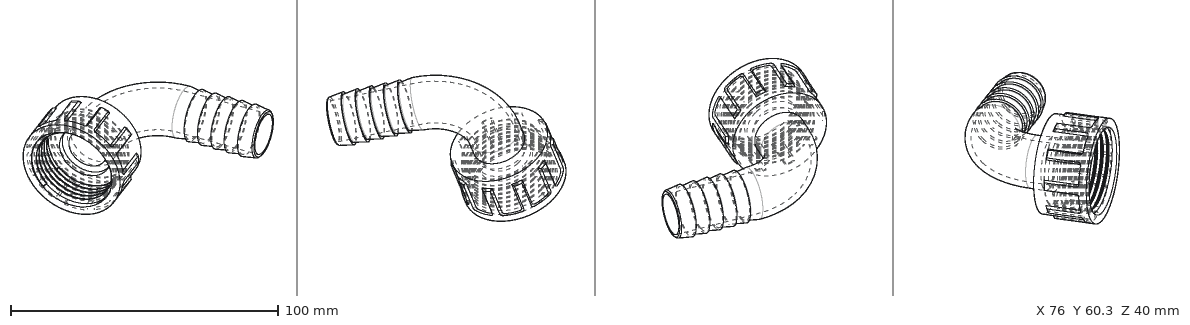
import cadquery as cq
import math


nut_diameter = 38.0
rim_diameter = 40.0
nut_height = 21.05
rim_height = 3.05
rib_count = 10
rib_top = 17.0
rib_base_width = 4.1
rib_crest_width = 3.0
pocket_corner_radius = 0.9
nut_wall = 3.0

thread_major_diameter = 33.2
thread_minor_diameter = 30.4
thread_pitch = 2.3
thread_angle = 55.0
thread_turns = 5.0
thread_start = 1.3
thread_start_angle = 225.0
thread_root_overlap = 0.2
seat_diameter = 30.8

gasket_diameter = 30.0
gasket_hole_diameter = 21.0
gasket_front = 12.0
gasket_thickness = 2.5

bore_diameter = 15.6
tube_diameter = 20.15
bend_radius = 22.95
outlet_height = 50.1

barb_count = 5
barb_crest_diameter = 20.4
barb_root_diameter = 18.6
barb_land = 0.45
first_barb = 5.0
tip_length = 6.1
overall_length = 76.0
tip_chamfer = 0.5

nut_radius = nut_diameter / 2
rim_radius = rim_diameter / 2
seat_radius = seat_diameter / 2
bore_radius = bore_diameter / 2
tube_radius = tube_diameter / 2
thread_major_radius = thread_major_diameter / 2
thread_minor_radius = thread_minor_diameter / 2
outlet_end = overall_length - rim_radius
rib_depth = rim_radius - nut_radius
rib_draft = (rib_base_width - rib_crest_width) / 2
gasket_back = gasket_front + gasket_thickness
flange_back = nut_height - nut_wall
bend_start = outlet_height - bend_radius
barb_pitch = (outlet_end - tip_length - bend_radius - first_barb) / (barb_count - 1)


def revolve_about_y(points):
    """Turn a closed outline of (radius, height) points about the Y axis."""
    return cq.Workplane("XY").polyline(points).close().revolve(360, (0, 0, 0), (0, 1, 0))


def make_rib_pockets():
    """Recesses between the ribs, with slanted sides and rounded lower corners."""
    half_step = 180.0 / rib_count
    turn = math.radians(half_step)

    def on_rib_side(radius, half_width):
        along = radius * math.cos(turn) + half_width * math.sin(turn)
        across = radius * math.sin(turn) - half_width * math.cos(turn)
        return along, across

    inner = on_rib_side(nut_radius - rib_depth, rib_base_width / 2 + rib_draft)
    outer = on_rib_side(rim_radius + rib_depth, rib_crest_width / 2 - rib_draft)
    pocket = (
        cq.Workplane("XZ", origin=(0, rim_height, 0))
        .polyline([(inner[0], -inner[1]), (outer[0], -outer[1]), outer, inner])
        .close()
        .extrude(-(nut_height - rim_height))
        .faces("<Y")
        .edges("not |Z")
        .fillet(pocket_corner_radius)
    )
    return [
        pocket.rotate((0, 0, 0), (0, 1, 0), half_step * (2 * index + 1))
        for index in range(rib_count)
    ]


def make_thread_ridge():
    """Helical ridge standing inward from the thread's major diameter."""
    flank_slope = math.tan(math.radians(thread_angle / 2))
    ridge_height = thread_major_radius - thread_minor_radius
    crest_half = thread_pitch / 4 - ridge_height * flank_slope / 2
    root_half = crest_half + (ridge_height + thread_root_overlap) * flank_slope
    root_radius = thread_major_radius + thread_root_overlap
    path = cq.Wire.makeHelix(thread_pitch, thread_turns * thread_pitch, thread_minor_radius)
    ridge = (
        cq.Workplane("XZ")
        .polyline([
            (thread_minor_radius, -crest_half),
            (root_radius, -root_half),
            (root_radius, root_half),
            (thread_minor_radius, crest_half),
        ])
        .close()
        .sweep(cq.Workplane(path), isFrenet=True)
    )
    return (
        ridge.rotate((0, 0, 0), (1, 0, 0), -90)
        .rotate((0, 0, 0), (0, 1, 0), -thread_start_angle)
        .translate((0, thread_start, 0))
    )


def make_rib_sleeve():
    """Sleeve of the rim's diameter, cut away between the ribs."""
    sleeve = revolve_about_y([
        (thread_major_radius, 0),
        (rim_radius, 0),
        (rim_radius, rib_top - rib_draft),
        (nut_radius, rib_top),
        (thread_major_radius, rib_top),
    ])
    for pocket in make_rib_pockets():
        sleeve = sleeve.cut(pocket)
    return sleeve


def make_nut():
    body = revolve_about_y([
        (thread_major_radius, 0),
        (nut_radius, 0),
        (nut_radius, nut_height),
        (tube_radius, nut_height),
        (tube_radius, flange_back),
        (seat_radius, flange_back),
        (seat_radius, gasket_back),
        (thread_major_radius, gasket_back),
    ])
    return body.union(make_rib_sleeve()).union(make_thread_ridge())


def make_gasket():
    return (
        cq.Workplane("XZ", origin=(0, gasket_front, 0))
        .circle(gasket_diameter / 2)
        .circle(gasket_hole_diameter / 2)
        .extrude(-gasket_thickness)
    )


def make_bent_rod(radius):
    """Solid rod that follows the elbow from the flange face to the end of the bend."""
    path = (
        cq.Workplane("XY")
        .moveTo(0, gasket_back)
        .lineTo(0, bend_start)
        .radiusArc((bend_radius, outlet_height), bend_radius)
    )
    return cq.Workplane("XZ", origin=(0, gasket_back, 0)).circle(radius).sweep(path)


def make_barbed_spigot():
    crest = barb_crest_diameter / 2
    root = barb_root_diameter / 2
    profile = cq.Workplane("XY").moveTo(bend_radius, 0).lineTo(bend_radius, tube_radius)
    for index in range(barb_count):
        crest_place = bend_radius + first_barb + index * barb_pitch
        profile = (
            profile.lineTo(crest_place - barb_land, root)
            .lineTo(crest_place, root)
            .lineTo(crest_place, crest)
        )
    profile = (
        profile.lineTo(outlet_end - tip_chamfer, root)
        .lineTo(outlet_end, root - tip_chamfer)
        .lineTo(outlet_end, 0)
        .close()
    )
    spigot = profile.revolve(360, (0, 0, 0), (1, 0, 0))
    return spigot.translate((0, outlet_height, 0))


def make_elbow():
    flange = (
        cq.Workplane("XZ", origin=(0, gasket_back, 0))
        .circle(gasket_diameter / 2)
        .extrude(-(flange_back - gasket_back))
    )
    bore_outlet = (
        cq.Workplane("YZ", origin=(bend_radius, outlet_height, 0))
        .circle(bore_radius)
        .extrude(outlet_end - bend_radius)
    )
    return (
        make_bent_rod(tube_radius)
        .union(flange)
        .union(make_barbed_spigot())
        .cut(make_bent_rod(bore_radius))
        .cut(bore_outlet)
    )


nut = make_nut()
gasket = make_gasket()
elbow = make_elbow()

result = cq.Compound.makeCompound([nut.val(), gasket.val(), elbow.val()])